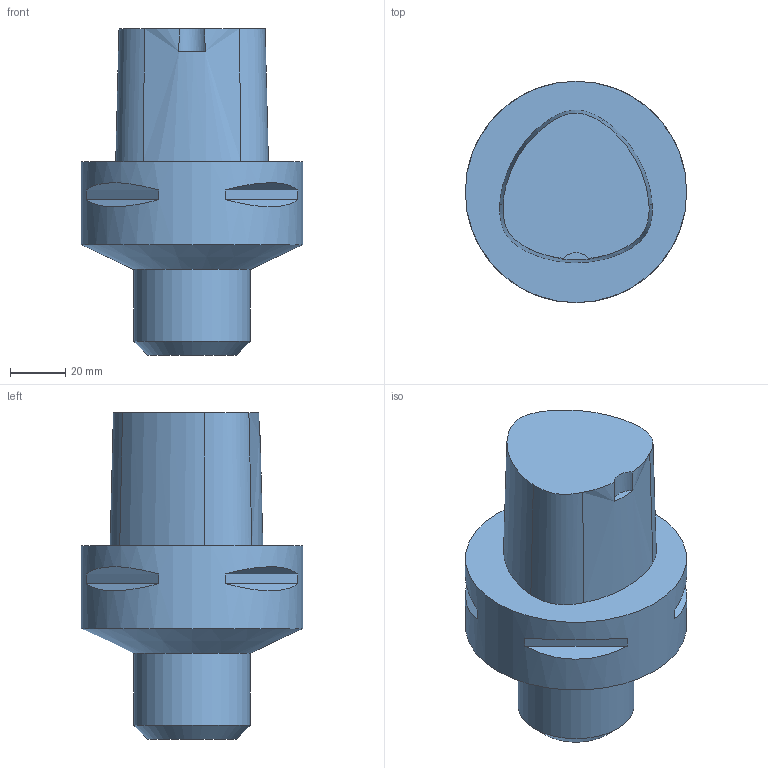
import cadquery as cq
import math

FLANGE_DIAMETER = 80.0
FLANGE_HEIGHT = 30.0
CONE_HEIGHT = 9.0
SPIGOT_DIAMETER = 42.0
SPIGOT_HEIGHT = 31.0
SPIGOT_CHAMFER = 5.0

SHANK_WIDTH = 55.2
SHANK_HEIGHT = 48.0
SHANK_TAPER = 1 / 20
LOBE_ECCENTRICITY = 2.0
LOBE_COUNT = 3
LOBE_DIRECTION = 90.0
LOBE_HALF_ANGLE = 33.0
FLANK_HALF_ANGLE = 180 / LOBE_COUNT - LOBE_HALF_ANGLE
STEPS_PER_STRETCH = 8

NOTCH_RADIUS = 6.0
NOTCH_DEPTH = 2.4
NOTCH_HEIGHT = 8.3

GROOVE_COUNT = 4
GROOVE_FIRST_ANGLE = 45.0
GROOVE_FLOOR_DISTANCE = 35.5
GROOVE_FLOOR_WIDTH = 3.5
GROOVE_FLANK_ANGLE = 30.0
GROOVE_CENTRE_Z = -12.0


def make_body():
    """Flange, cone and chamfered spigot as one revolved profile."""
    flange_radius = FLANGE_DIAMETER / 2
    spigot_radius = SPIGOT_DIAMETER / 2
    spigot_top = -FLANGE_HEIGHT - CONE_HEIGHT
    spigot_end = spigot_top - SPIGOT_HEIGHT
    profile = [
        (0, 0),
        (flange_radius, 0),
        (flange_radius, -FLANGE_HEIGHT),
        (spigot_radius, spigot_top),
        (spigot_radius, spigot_end + SPIGOT_CHAMFER),
        (spigot_radius - SPIGOT_CHAMFER, spigot_end),
        (0, spigot_end),
    ]
    return cq.Workplane("XZ").polyline(profile).close().revolve(360, (0, 0), (0, 1))


def shank_width(z):
    return SHANK_WIDTH - SHANK_TAPER * z


def shank_point(normal_angle, z):
    """Point of the constant-width outline whose normal is turned this far from the first lobe."""
    lobe_phase = math.radians(LOBE_COUNT * normal_angle)
    direction = math.radians(LOBE_DIRECTION + normal_angle)
    reach = shank_width(z) / 2 + LOBE_ECCENTRICITY * math.cos(lobe_phase)
    slide = -LOBE_COUNT * LOBE_ECCENTRICITY * math.sin(lobe_phase)
    x = reach * math.cos(direction) - slide * math.sin(direction)
    y = reach * math.sin(direction) + slide * math.cos(direction)
    return cq.Vector(x, y, z)


def shank_tangent(normal_angle):
    direction = math.radians(LOBE_DIRECTION + normal_angle)
    return cq.Vector(-math.sin(direction), math.cos(direction), 0)


def shank_stretch(centre_angle, half_angle, z):
    """Smooth edge of the outline over one lobe or one flank."""
    start = centre_angle - half_angle
    step = 2 * half_angle / STEPS_PER_STRETCH
    points = [shank_point(start + i * step, z) for i in range(STEPS_PER_STRETCH + 1)]
    end_tangents = [shank_tangent(start), shank_tangent(centre_angle + half_angle)]
    return cq.Edge.makeSpline(points, tangents=end_tangents)


def shank_outline(z):
    pitch = 360 / LOBE_COUNT
    edges = []
    for i in range(LOBE_COUNT):
        edges.append(shank_stretch(i * pitch, LOBE_HALF_ANGLE, z))
        edges.append(shank_stretch((i + 0.5) * pitch, FLANK_HALF_ANGLE, z))
    return cq.Wire.assembleEdges(edges)


def make_shank():
    outlines = [shank_outline(0), shank_outline(SHANK_HEIGHT)]
    return cq.Workplane(cq.Solid.makeLoft(outlines, ruled=True))


def make_notch():
    """Upright round cutter that bites into the -Y flank from the free end."""
    flank_distance = shank_width(SHANK_HEIGHT) / 2 - LOBE_ECCENTRICITY
    centre_y = -(flank_distance - NOTCH_DEPTH + NOTCH_RADIUS)
    cutter = cq.Workplane("XY", origin=(0, centre_y, SHANK_HEIGHT - NOTCH_HEIGHT))
    return cutter.circle(NOTCH_RADIUS).extrude(NOTCH_HEIGHT)


def make_groove(angle):
    """Straight groove cutter, square to the radius at the given angle."""
    floor_half = GROOVE_FLOOR_WIDTH / 2
    mouth_distance = FLANGE_DIAMETER / 2
    depth = mouth_distance - GROOVE_FLOOR_DISTANCE
    mouth_half = floor_half + depth * math.tan(math.radians(GROOVE_FLANK_ANGLE))
    section = [
        (GROOVE_FLOOR_DISTANCE, GROOVE_CENTRE_Z - floor_half),
        (mouth_distance, GROOVE_CENTRE_Z - mouth_half),
        (mouth_distance, GROOVE_CENTRE_Z + mouth_half),
        (GROOVE_FLOOR_DISTANCE, GROOVE_CENTRE_Z + floor_half),
    ]
    cutter = cq.Workplane("XZ").polyline(section).close().extrude(FLANGE_DIAMETER / 2, both=True)
    return cutter.rotate((0, 0, 0), (0, 0, 1), angle)


result = make_body().union(make_shank()).cut(make_notch())
for groove in range(GROOVE_COUNT):
    result = result.cut(make_groove(GROOVE_FIRST_ANGLE + groove * 360 / GROOVE_COUNT))